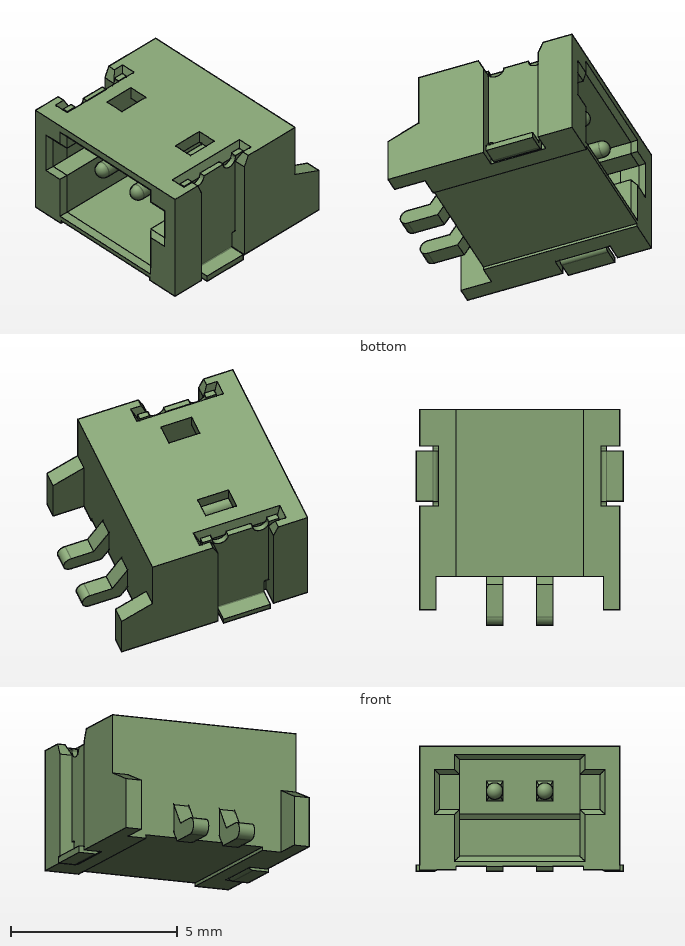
import cadquery as cq
import math


housing_width = 6.005
housing_depth = 5.01
housing_height = 3.7
underside_relief_height = 0.105
underside_relief_width = 3.81

arm_width = 0.5
arm_rear_y = 6.005
arm_front_height = 1.9
arm_rear_height = 1.51

mouth_chamfer = 0.155
cavity_width = 3.6
cavity_depth = 3.5
cavity_floor_z = 0.41
cavity_ceiling_z = 3.3
lower_pocket_height = 1.1
lower_pocket_extra_depth = 0.11
lower_pocket_bevel_height = 0.16
keyway_width = 4.8
keyway_depth = 1.56
keyway_floor_z = 1.81
keyway_ceiling_z = 2.85

window_inner_x = 1.15
window_outer_x = 1.8
window_front_y = 1.81
window_back_y = 2.81

nail_center_y = 2.0
nail_thickness = 0.175
nail_inner_x = 2.425
nail_outer_x = nail_inner_x + nail_thickness
nail_width = 2.47
nail_shoulder_z = 0.685
nail_wing_top_z = 3.55
nail_tab_top_z = 3.5
nail_tab_width = 0.8
nail_notch_radius = 0.25
nail_stem_width = 1.515
nail_stem_fillet = 0.05
foot_bottom_z = -0.05
foot_thickness = 0.2
foot_span = 6.205
foot_end_x = foot_span / 2
foot_inner_bend = 0.01
foot_outer_bend = 0.17
side_opening_width = 1.785
slot_flare = 0.16
slot_flare_depth = 0.35

pin_pitch = 1.5
pin_thickness = 0.5
pin_radius = pin_thickness / 2
pin_axis_z = 2.355
pin_tip_y = 0.395
pin_shank_height = 0.6
pin_taper_length = 0.1
pin_shank_front_y = cavity_depth + pin_taper_length
pin_rear_y = 6.47
pin_tail_bottom_z = foot_bottom_z
pin_tail_top_z = pin_tail_bottom_z + pin_thickness
pin_bend_top_y = 5.5
pin_leg_angle = math.radians(54)


def box(x_range, y_range, z_range):
    """Box spanning the given (low, high) limits on each axis."""
    lows, highs = zip(x_range, y_range, z_range)
    sizes = [high - low for low, high in zip(lows, highs)]
    return cq.Workplane().box(*sizes, centered=False).translate(lows)


def side_profile(points, x_low, x_high):
    """Closed YZ polygon extruded along X between two limits."""
    return cq.Workplane("YZ", origin=(x_low, 0, 0)).polyline(points).close().extrude(x_high - x_low)


def mirrored(body):
    """The same body on the other side of the YZ plane."""
    return body.mirror("YZ")


def mouth_recess(width, depth, floor_z, ceiling_z):
    """Rectangular recess in the front face with a 45 degree chamfer round its mouth."""
    recess = box((-width / 2, width / 2), (0, depth), (floor_z, ceiling_z))
    flare = (
        cq.Workplane("XZ", origin=(0, 0, (floor_z + ceiling_z) / 2))
        .rect(width + 2 * mouth_chamfer, ceiling_z - floor_z + 2 * mouth_chamfer)
        .extrude(-mouth_chamfer, taper=45)
    )
    return recess.union(flare)


def flared_slot(x_range, width, bottom_z):
    """Slot along Y, open at the roof, whose four walls flare outwards near the roof."""
    x_low, x_high = x_range
    y_range = (nail_center_y - width / 2, nail_center_y + width / 2)
    slot = box(x_range, y_range, (bottom_z, housing_height))
    flare = (
        cq.Workplane("XY", origin=((x_low + x_high) / 2, nail_center_y, housing_height))
        .rect(x_high - x_low + 2 * slot_flare, width + 2 * slot_flare)
        .extrude(-slot_flare_depth, taper=math.degrees(math.atan2(slot_flare, slot_flare_depth)))
    )
    return slot.union(flare)


def lower_pocket():
    """Deeper lower part of the cavity, bevelled where it meets the rear wall."""
    back_y = cavity_depth + lower_pocket_extra_depth
    bevel_bottom_z = cavity_floor_z + lower_pocket_height
    bevel_top_z = bevel_bottom_z + lower_pocket_bevel_height
    outline = [
        (0, cavity_floor_z),
        (back_y, cavity_floor_z),
        (back_y, bevel_bottom_z),
        (cavity_depth, bevel_top_z),
        (0, bevel_top_z),
    ]
    return side_profile(outline, -cavity_width / 2, cavity_width / 2)


def pin_back_outline():
    """YZ outline of the pin behind its round contact: shank, sloping leg and round tail."""
    run_per_rise = 1 / math.tan(pin_leg_angle)
    shank_top_z = pin_axis_z + pin_shank_height / 2
    shank_bottom_z = pin_axis_z - pin_shank_height / 2
    bend_bottom_y = pin_bend_top_y - pin_thickness * math.tan(pin_leg_angle / 2)
    leg_top_y = pin_bend_top_y - (shank_top_z - pin_tail_top_z) * run_per_rise
    leg_bottom_y = bend_bottom_y - (shank_bottom_z - pin_tail_bottom_z) * run_per_rise
    tail_center_y = pin_rear_y - pin_radius
    return (
        cq.Workplane("YZ", origin=(-pin_thickness / 2, 0, 0))
        .moveTo(pin_shank_front_y, shank_bottom_z)
        .lineTo(leg_bottom_y, shank_bottom_z)
        .lineTo(bend_bottom_y, pin_tail_bottom_z)
        .lineTo(tail_center_y, pin_tail_bottom_z)
        .threePointArc(
            (pin_rear_y, pin_tail_bottom_z + pin_radius),
            (tail_center_y, pin_tail_top_z),
        )
        .lineTo(pin_bend_top_y, pin_tail_top_z)
        .lineTo(leg_top_y, shank_top_z)
        .lineTo(pin_shank_front_y, shank_top_z)
        .close()
    )


def make_pin_back():
    """Rectangular rear part of a pin."""
    return pin_back_outline().extrude(pin_thickness)


def pin_taper():
    """Transition from the rectangular shank to the round contact, ending at the cavity wall."""
    half_height = pin_shank_height / 2
    corners = [(pin_radius, half_height), (-pin_radius, half_height)]
    corners += [(-pin_radius, -half_height), (pin_radius, -half_height)]
    diagonal = pin_radius / math.sqrt(2)
    return (
        cq.Workplane("XZ", origin=(0, pin_shank_front_y, pin_axis_z))
        .polyline(corners)
        .close()
        .workplane(offset=pin_taper_length)
        .moveTo(diagonal, diagonal)
        .threePointArc((0, pin_radius), (-diagonal, diagonal))
        .threePointArc((-pin_radius, 0), (-diagonal, -diagonal))
        .threePointArc((0, -pin_radius), (diagonal, -diagonal))
        .threePointArc((pin_radius, 0), (diagonal, diagonal))
        .close()
        .loft(ruled=True)
    )


def make_pin(x):
    """Bent pin with a round, dome-ended contact."""
    dome_center_y = pin_tip_y + pin_radius
    contact = (
        cq.Workplane("XZ", origin=(0, dome_center_y, pin_axis_z))
        .circle(pin_radius)
        .extrude(dome_center_y - cavity_depth)
    )
    dome = cq.Workplane("XY", origin=(0, dome_center_y, pin_axis_z)).sphere(pin_radius)
    pin = make_pin_back().union(pin_taper()).union(contact).union(dome)
    return pin.translate((x, 0, 0))


def make_nail():
    """Solder nail on the +X side: notched plate in the slot with an outward foot."""
    half_stem = nail_stem_width / 2
    half_tab = nail_tab_width / 2
    half_width = nail_width / 2
    notch_outer = half_tab + 2 * nail_notch_radius
    notch_bottom_z = nail_tab_top_z - nail_notch_radius
    wings = (
        cq.Workplane("YZ", origin=(nail_inner_x, nail_center_y, 0))
        .moveTo(-half_width, nail_shoulder_z)
        .lineTo(half_width, nail_shoulder_z)
        .lineTo(half_width, nail_wing_top_z)
        .lineTo(notch_outer, nail_wing_top_z)
        .lineTo(notch_outer, nail_tab_top_z)
        .threePointArc((half_tab + nail_notch_radius, notch_bottom_z), (half_tab, nail_tab_top_z))
        .lineTo(-half_tab, nail_tab_top_z)
        .threePointArc((-half_tab - nail_notch_radius, notch_bottom_z), (-notch_outer, nail_tab_top_z))
        .lineTo(-notch_outer, nail_wing_top_z)
        .lineTo(-half_width, nail_wing_top_z)
        .close()
        .extrude(nail_thickness)
    )
    foot_top_z = foot_bottom_z + foot_thickness
    stem_and_foot = (
        cq.Workplane("XZ", origin=(0, nail_center_y + half_stem, 0))
        .moveTo(nail_inner_x, nail_shoulder_z)
        .lineTo(nail_inner_x, foot_bottom_z + foot_outer_bend)
        .radiusArc((nail_inner_x + foot_outer_bend, foot_bottom_z), -foot_outer_bend)
        .lineTo(foot_end_x, foot_bottom_z)
        .lineTo(foot_end_x, foot_top_z)
        .lineTo(nail_outer_x + foot_inner_bend, foot_top_z)
        .radiusArc((nail_outer_x, foot_top_z + foot_inner_bend), foot_inner_bend)
        .lineTo(nail_outer_x, nail_shoulder_z)
        .close()
        .extrude(nail_stem_width)
    )
    nail = wings.union(stem_and_foot)
    margin = 0.065
    stem_corners = cq.selectors.BoxSelector(
        (nail_inner_x - margin, nail_center_y - half_stem - margin, nail_shoulder_z - margin),
        (nail_outer_x + margin, nail_center_y + half_stem + margin, nail_shoulder_z + margin),
    )
    return nail.edges("|X").edges(stem_corners).fillet(nail_stem_fillet)


def nail_pocket():
    """Housing cut for the +X nail: flared slot, plus a side opening down to the underside."""
    slot = flared_slot((nail_inner_x, nail_outer_x), nail_width, nail_shoulder_z)
    opening = flared_slot((nail_inner_x, housing_width / 2 + slot_flare), side_opening_width, 0)
    return slot.union(opening)


def make_housing(pin_positions):
    """Shroud with rear arms, mating cavity, roof windows, nail pockets and pin holes."""
    half_width = housing_width / 2
    body = box((-half_width, half_width), (0, housing_depth), (0, housing_height))
    arm_outline = [
        (housing_depth, 0),
        (arm_rear_y, 0),
        (arm_rear_y, arm_rear_height),
        (housing_depth, arm_front_height),
    ]
    arm = side_profile(arm_outline, half_width - arm_width, half_width)
    body = body.union(arm).union(mirrored(arm))

    half_relief = underside_relief_width / 2
    body = body.cut(box((-half_relief, half_relief), (0, housing_depth), (0, underside_relief_height)))

    body = body.cut(mouth_recess(cavity_width, cavity_depth, cavity_floor_z, cavity_ceiling_z))
    body = body.cut(mouth_recess(keyway_width, keyway_depth, keyway_floor_z, keyway_ceiling_z))
    body = body.cut(lower_pocket())

    window = box(
        (window_inner_x, window_outer_x),
        (window_front_y, window_back_y),
        (cavity_ceiling_z, housing_height),
    )
    body = body.cut(window).cut(mirrored(window))
    body = body.cut(nail_pocket()).cut(mirrored(nail_pocket()))

    shank_hole = box(
        (-pin_thickness / 2, pin_thickness / 2),
        (cavity_depth, pin_shank_front_y),
        (pin_axis_z - pin_shank_height / 2, pin_axis_z + pin_shank_height / 2),
    )
    pin_hole = make_pin_back().union(shank_hole)
    for x in pin_positions:
        body = body.cut(pin_hole.translate((x, 0, 0)))
    return body


pin_positions = [-pin_pitch / 2, pin_pitch / 2]
housing = make_housing(pin_positions)
pins = [make_pin(x) for x in pin_positions]
right_nail = make_nail()
nails = [mirrored(right_nail), right_nail]

result = cq.Compound.makeCompound([
    housing.val(),
    *[pin.val() for pin in pins],
    *[nail.val() for nail in nails],
])